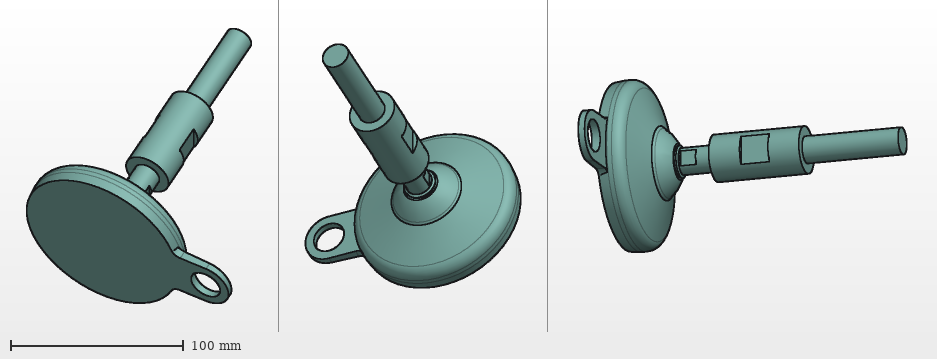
import cadquery as cq
import math

overall_length = 170.0

foot_radius = 50.0
sole_radius = 49.3
band_start = 6.1
shoulder_start = 9.0
cone_start = 16.0
cone_start_radius = 44.7
cone_end = 24.1
cone_end_radius = 21.8
boss_start = 25.5
boss_start_radius = 20.4
boss_end = 33.5
boss_end_radius = 10.5
boss_bulge = 0.6
collar_waist_radius = 9.2
collar_lip_radius = 9.7
collar_lip = 34.8
collar_end = 35.7

lug_radius = 15.0
lug_center_x = 68.0
lug_hole_radius = 9.5
lug_root_fillet = 6.0
lug_tip_thickness = 3.9
lug_root_thickness = 5.8

stud_radius = 8.0
stud_flat_start = 36.7
stud_flat_end = 46.2
stud_flat_width = 13.3

sleeve_radius = 14.0
sleeve_start = 56.3
sleeve_length = 55.0
sleeve_flat_length = 17.3
sleeve_flat_width = 22.3


def cylinder(radius, start, length):
    """Solid cylinder along the Y axis, running from Y = start."""
    return cq.Workplane("XZ", origin=(0, start, 0)).circle(radius).extrude(-length)


def cut_flats(body, radius, width, start, length):
    """Mill a pair of opposite flats, facing -X and +X, to the given width."""
    depth = radius - width / 2
    for side in (-1, 1):
        cutter = cq.Workplane("XY").box(2 * depth, length, 2 * radius)
        body = body.cut(cutter.translate((side * (width / 2 + depth), start + length / 2, 0)))
    return body


def make_foot_disc():
    """Revolved foot: flared rim, rounded shoulder, cone, domed boss and flared collar with a beveled top."""
    boss_middle = (
        (boss_start_radius + boss_end_radius) / 2 + boss_bulge,
        (boss_start + boss_end) / 2 + boss_bulge,
    )
    return (
        cq.Workplane("XY")
        .lineTo(sole_radius, 0)
        .lineTo(foot_radius, band_start)
        .lineTo(foot_radius, shoulder_start)
        .tangentArcPoint((cone_start_radius, cone_start), relative=False)
        .lineTo(cone_end_radius, cone_end)
        .lineTo(boss_start_radius, boss_start)
        .threePointArc(boss_middle, (boss_end_radius, boss_end))
        .lineTo(collar_waist_radius, boss_end)
        .lineTo(collar_lip_radius, collar_lip)
        .lineTo(stud_radius, collar_end)
        .lineTo(0, collar_end)
        .close()
        .revolve(360, (0, 0, 0), (0, 1, 0))
    )


def make_lug():
    """Tapered lug with a rounded end and a concave fillet at each side of its root."""
    fillet_z = lug_radius + lug_root_fillet
    fillet_x = math.sqrt((sole_radius + lug_root_fillet) ** 2 - fillet_z ** 2)
    root_scale = sole_radius / (sole_radius + lug_root_fillet)
    root_x = fillet_x * root_scale
    root_z = fillet_z * root_scale

    middle_angle = (math.atan2(root_z - fillet_z, root_x - fillet_x) - math.pi / 2) / 2
    middle_x = fillet_x + lug_root_fillet * math.cos(middle_angle)
    middle_z = fillet_z + lug_root_fillet * math.sin(middle_angle)

    lug_end_x = lug_center_x + lug_radius
    outline = (
        cq.Workplane("XZ")
        .lineTo(root_x, root_z)
        .threePointArc((middle_x, middle_z), (fillet_x, lug_radius))
        .lineTo(lug_center_x, lug_radius)
        .threePointArc((lug_end_x, 0), (lug_center_x, -lug_radius))
        .lineTo(fillet_x, -lug_radius)
        .threePointArc((middle_x, -middle_z), (root_x, -root_z))
        .close()
        .extrude(-lug_root_thickness)
    )
    wedge = (
        cq.Workplane("XY")
        .polyline([
            (0, 0),
            (lug_end_x, 0),
            (lug_end_x, lug_tip_thickness),
            (root_x, lug_root_thickness),
            (0, lug_root_thickness),
        ])
        .close()
        .extrude(2 * foot_radius, both=True)
    )
    hole = cylinder(lug_hole_radius, 0, lug_root_thickness).translate((lug_center_x, 0, 0))
    return outline.intersect(wedge).cut(hole)


def make_foot():
    return make_foot_disc().union(make_lug())


def make_stud():
    """Plain rod standing on the collar, with wrench flats near its lower end."""
    rod = cylinder(stud_radius, collar_end, overall_length - collar_end)
    flat_length = stud_flat_end - stud_flat_start
    return cut_flats(rod, stud_radius, stud_flat_width, stud_flat_start, flat_length)


def make_sleeve():
    """Tubular sleeve around the stud, with wrench flats at mid length."""
    tube = cylinder(sleeve_radius, sleeve_start, sleeve_length)
    tube = tube.cut(cylinder(stud_radius, sleeve_start, sleeve_length))
    flat_start = sleeve_start + (sleeve_length - sleeve_flat_length) / 2
    return cut_flats(tube, sleeve_radius, sleeve_flat_width, flat_start, sleeve_flat_length)


foot = make_foot()
stud = make_stud()
sleeve = make_sleeve()

result = cq.Compound.makeCompound([foot.val(), stud.val(), sleeve.val()])